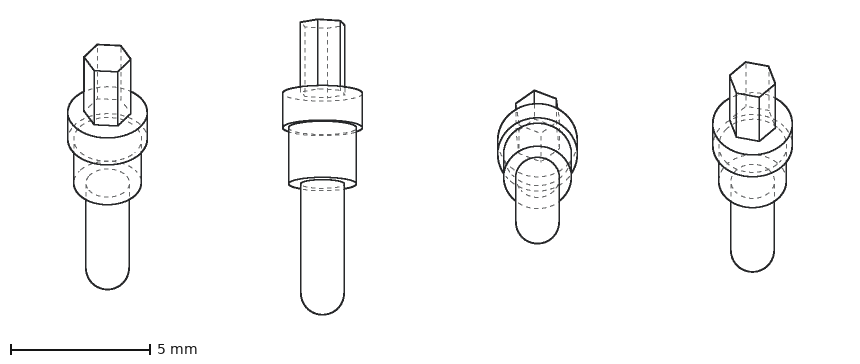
import cadquery as cq

total_length = 10.65
pin_diameter = 1.57
body_diameter = 2.44
flange_diameter = 2.86
hex_across_corners = 1.69

hex_length = 2.55
flange_length = 1.27
body_length = 2.06

flange_top = total_length - hex_length
flange_bottom = flange_top - flange_length
body_bottom = flange_bottom - body_length
tip_radius = pin_diameter / 2


def cylinder(diameter, bottom, top):
    """Round section on the Z axis between two levels."""
    return cq.Workplane("XY").workplane(offset=bottom).circle(diameter / 2).extrude(top - bottom)


def round_tipped_pin():
    """Pin shank ending in a hemispherical tip."""
    shank = cylinder(pin_diameter, tip_radius, body_bottom)
    tip = cq.Workplane("XY").sphere(tip_radius).translate((0, 0, tip_radius))
    return shank.union(tip)


def hex_tail():
    """Hexagonal tail with two corners on the X axis."""
    return (
        cq.Workplane("XY")
        .workplane(offset=flange_top)
        .polygon(6, hex_across_corners)
        .extrude(hex_length)
    )


body = cylinder(body_diameter, body_bottom, flange_bottom)
flange = cylinder(flange_diameter, flange_bottom, flange_top)

result = round_tipped_pin().union(body).union(flange).union(hex_tail())